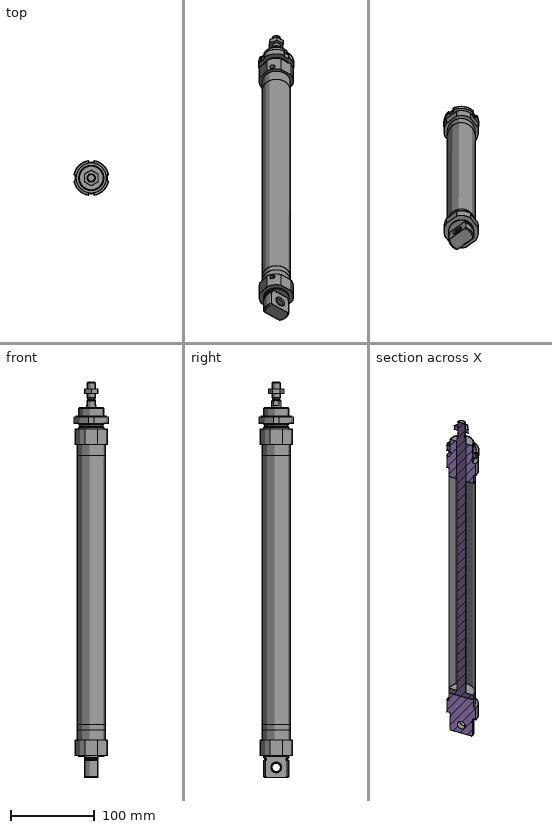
import cadquery as cq
import math

total_length = 471.5

tongue_thickness = 16.0
tongue_diameter = 30.0
tongue_chamfer = 1.5
pivot_height = 12.3
pivot_diameter = 10.0
pivot_rim_diameter = 12.5
rear_lip = 1.5

cap_diameter = 41.0
cap_across_flats = 38.0
cap_length = 18.5
rear_cap_bottom = 26.5
front_cap_top = 415.5

port_diameter = 6.0
port_depth = 7.0
port_inset = 4.2
port_angle = 130.0

tube_diameter = 33.5
bore_diameter = 32.0
bore_bottom = 56.5
bore_top = 384.0

collar_diameter = 30.0
collar_top = 441.5
collar_chamfer = 1.0

relief_diameter = 28.0
front_relief_top = 421.5
front_relief_width = 4.0
rear_relief_top = 24.0
rear_relief_width = 4.0

ring_nut_diameter = 42.0
ring_nut_rim_diameter = 36.0
ring_nut_bottom = 422.5
ring_nut_height = 7.5
ring_nut_rim_height = 1.0
ring_nut_slot_width = 7.0
ring_nut_slot_depth = 2.0
ring_nut_slot_count = 4

piston_length = 7.0
rod_diameter = 12.0
rod_shoulder = 450.5
rod_shoulder_chamfer = 1.5
rod_across_flats = 10.0
rod_flat_bottom = 443.5
thread_diameter = 10.0
thread_bottom = 451.5
thread_runout_length = 1.5
thread_tip_chamfer = 1.0
rod_neck_diameter = 8.5

hex_nut_across_flats = 16.0
hex_nut_bottom = 458.0
hex_nut_height = 5.5


def cylinder(diameter, bottom, top):
    """Round bar on the Z axis between two heights."""
    return cq.Workplane("XY").workplane(offset=bottom).circle(diameter / 2).extrude(top - bottom)


def slab(size_x, size_y, bottom, top):
    """Rectangular block centred on the Z axis between two heights."""
    block = cq.Workplane("XY").workplane(offset=bottom).rect(size_x, size_y)
    return block.extrude(top - bottom)


def end_cap(bottom, port_height):
    """Round cap with four flats and one radial port."""
    cap = cylinder(cap_diameter, bottom, bottom + cap_length)
    cap = cap.intersect(slab(cap_across_flats, cap_across_flats, bottom, bottom + cap_length))
    angle = math.radians(port_angle)
    outward = cq.Vector(math.cos(angle), math.sin(angle), 0)
    floor = outward * (cap_diameter / 2 - port_depth) + cq.Vector(0, 0, port_height)
    port = cq.Solid.makeCylinder(port_diameter / 2, 2 * port_depth, floor, outward)
    return cap.cut(cq.Workplane(port))


def relief_groove(outer_diameter, top, width):
    """Cutting ring for a groove whose flat floor lies between two sloped walls."""
    outer = outer_diameter / 2
    floor = relief_diameter / 2
    slope = outer - floor
    profile = [(outer, top), (floor, top - slope), (floor, top - width + slope), (outer, top - width)]
    return cq.Workplane("XZ").polyline(profile).close().revolve(360, (0, 0, 0), (0, 1, 0))


def clevis_tongue():
    """Flat-sided round tongue with a relief groove and a countersunk pivot hole."""
    lip_bottom = rear_cap_bottom - rear_lip
    tongue = cylinder(tongue_diameter, 0, lip_bottom).faces("<Z").chamfer(tongue_chamfer)
    tongue = tongue.cut(relief_groove(tongue_diameter, rear_relief_top, rear_relief_width))
    tongue = tongue.intersect(slab(tongue_thickness, tongue_diameter, 0, lip_bottom))
    pivot = cq.Workplane("YZ").center(0, pivot_height).circle(pivot_diameter / 2)
    tongue = tongue.cut(pivot.extrude(tongue_thickness, both=True))
    rim_chamfer = (pivot_rim_diameter - pivot_diameter) / 2
    tongue = tongue.faces("<X or >X").edges("%CIRCLE").chamfer(rim_chamfer)
    return tongue.union(cylinder(tongue_diameter, lip_bottom, rear_cap_bottom))


def cylinder_housing():
    """Tube with both end caps, the front collar and the rear clevis tongue."""
    rear_cap_top = rear_cap_bottom + cap_length
    front_cap_bottom = front_cap_top - cap_length
    collar = cylinder(collar_diameter, front_cap_top, collar_top)
    collar = collar.faces(">Z").chamfer(collar_chamfer)
    collar = collar.cut(relief_groove(collar_diameter, front_relief_top, front_relief_width))
    body = cylinder(tube_diameter, rear_cap_top, front_cap_bottom)
    body = body.union(end_cap(rear_cap_bottom, rear_cap_top - port_inset))
    body = body.union(end_cap(front_cap_bottom, front_cap_bottom + port_inset))
    body = body.union(collar).union(clevis_tongue())
    body = body.cut(cylinder(bore_diameter, bore_bottom, bore_top))
    return body.cut(cylinder(rod_diameter, bore_top, collar_top))


def slotted_ring_nut():
    """Round nut with spanner slots around its edge and a low raised rim on top."""
    top = ring_nut_bottom + ring_nut_height
    nut = cylinder(ring_nut_diameter, ring_nut_bottom, top)
    for index in range(ring_nut_slot_count):
        slot = slab(2 * ring_nut_slot_depth, ring_nut_slot_width, ring_nut_bottom, top)
        slot = slot.translate((ring_nut_diameter / 2, 0, 0))
        nut = nut.cut(slot.rotate((0, 0, 0), (0, 0, 1), index * 360 / ring_nut_slot_count))
    rim_top = top + ring_nut_rim_height
    nut = nut.union(cylinder(ring_nut_rim_diameter, top, rim_top))
    return nut.cut(cylinder(collar_diameter, ring_nut_bottom, rim_top))


def piston_rod():
    """Piston resting on the bore floor, and its rod with two flats, a neck and a threaded end."""
    piston = cylinder(bore_diameter, bore_bottom, bore_bottom + piston_length)
    shank = cylinder(rod_diameter, bore_bottom + piston_length, rod_shoulder)
    shank = shank.faces(">Z").chamfer(rod_shoulder_chamfer)
    flats = slab(rod_diameter, rod_diameter, rod_flat_bottom, rod_shoulder)
    flats = flats.cut(slab(rod_across_flats, rod_diameter, rod_flat_bottom, rod_shoulder))
    neck = cylinder(rod_neck_diameter, rod_shoulder, thread_bottom)
    thread = cylinder(thread_diameter, thread_bottom, total_length)
    runout_depth = (thread_diameter - rod_neck_diameter) / 2
    thread = thread.faces("<Z").chamfer(thread_runout_length, runout_depth)
    thread = thread.faces(">Z").chamfer(thread_tip_chamfer)
    return piston.union(shank.cut(flats)).union(neck).union(thread)


def rod_nut():
    """Hexagon nut with two corners on the Y axis."""
    top = hex_nut_bottom + hex_nut_height
    across_corners = hex_nut_across_flats / math.cos(math.radians(30))
    nut = cq.Workplane("XY").workplane(offset=hex_nut_bottom).polygon(6, across_corners)
    nut = nut.extrude(hex_nut_height).rotate((0, 0, 0), (0, 0, 1), 30)
    return nut.cut(cylinder(thread_diameter, hex_nut_bottom, top))


housing = cylinder_housing()
ring_nut = slotted_ring_nut()
rod = piston_rod()
hex_nut = rod_nut()

result = cq.Compound.makeCompound([housing.val(), ring_nut.val(), rod.val(), hex_nut.val()])